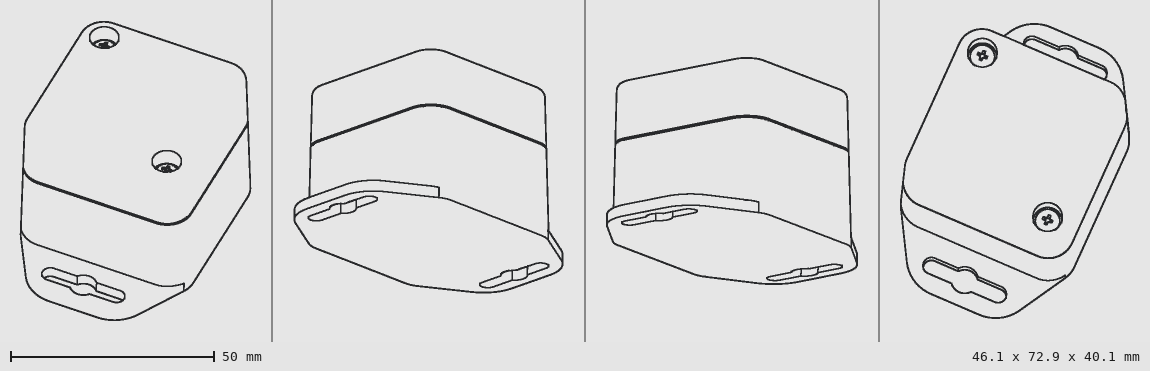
import cadquery as cq
import math

base_width = 46.05
corner_center = 15.925
draft_angle = 1.48
overall_height = 40.1
base_height = 24.4
joint_gap = 0.4
tongue_inset = 0.5
lid_edge_radius = 1.9

overall_length = 72.91
flange_thickness = 3.0
flange_edge_radius = 0.5
flange_corner_radius = 10.0
flange_side_angle = 30.0

slot_offset = 30.5
slot_length = 21.9
slot_width = 4.0
slot_hole_diameter = 6.5

screw_offset = 15.7
screw_points = [(-screw_offset, screw_offset), (screw_offset, -screw_offset)]
counterbore_diameter = 7.0
counterbore_depth = 4.5
head_diameter = 6.0
head_side_height = 0.7
head_edge_step = 0.35
dome_height = 1.0
shank_diameter = 3.0
shank_engagement = 8.0
recess_span = 2.8
recess_arm_width = 0.6
recess_center_diameter = 1.2
recess_depth = 1.2

corner_radius = base_width / 2 - corner_center
lid_bottom = base_height + joint_gap
lid_height = overall_height - lid_bottom
seat_level = overall_height - counterbore_depth
shank_bottom = base_height - shank_engagement


def wall_half_width(z):
    """Distance from the centre to the drafted side wall at height z."""
    return base_width / 2 - z * math.tan(math.radians(draft_angle))


def rounded_block(half_width, bottom, height):
    """Drafted square block whose corner arcs are centred on the corner centres."""
    return (
        cq.Workplane("XY", origin=(0, 0, bottom))
        .sketch()
        .rect(2 * half_width, 2 * half_width)
        .vertices()
        .fillet(half_width - corner_center)
        .finalize()
        .extrude(height, taper=draft_angle)
    )


def screw_shank_space():
    """Cylinders filled by the two screw shanks."""
    return (
        cq.Workplane("XY", origin=(0, 0, shank_bottom))
        .pushPoints(screw_points)
        .circle(shank_diameter / 2)
        .extrude(seat_level - shank_bottom)
    )


def flange():
    """Plate with slanted sides that leave the shell's corner arcs tangentially."""
    cos_side = math.cos(math.radians(flange_side_angle))
    sin_side = math.sin(math.radians(flange_side_angle))
    half_length = overall_length / 2

    side_x = corner_center + corner_radius * cos_side
    side_y = corner_center + corner_radius * sin_side

    side_distance = side_x * cos_side + side_y * sin_side
    arc_y = half_length - flange_corner_radius
    arc_x = (side_distance - flange_corner_radius - arc_y * sin_side) / cos_side
    arc_end_x = arc_x + flange_corner_radius * cos_side
    arc_end_y = arc_y + flange_corner_radius * sin_side

    half_angle = math.radians((90 + flange_side_angle) / 2)
    arc_mid_x = arc_x + flange_corner_radius * math.cos(half_angle)
    arc_mid_y = arc_y + flange_corner_radius * math.sin(half_angle)

    return (
        cq.Workplane("XY")
        .moveTo(-side_x, side_y)
        .lineTo(-arc_end_x, arc_end_y)
        .threePointArc((-arc_mid_x, arc_mid_y), (-arc_x, half_length))
        .lineTo(arc_x, half_length)
        .threePointArc((arc_mid_x, arc_mid_y), (arc_end_x, arc_end_y))
        .lineTo(side_x, side_y)
        .lineTo(side_x, -side_y)
        .lineTo(arc_end_x, -arc_end_y)
        .threePointArc((arc_mid_x, -arc_mid_y), (arc_x, -half_length))
        .lineTo(-arc_x, -half_length)
        .threePointArc((-arc_mid_x, -arc_mid_y), (-arc_end_x, -arc_end_y))
        .lineTo(-side_x, -side_y)
        .close()
        .extrude(flange_thickness)
        .faces(">Z")
        .edges()
        .fillet(flange_edge_radius)
    )


def keyhole_slots():
    """Rounded slot with a larger round opening in its middle, at each end."""
    slot_points = [(0, slot_offset), (0, -slot_offset)]
    slots = (
        cq.Workplane("XY")
        .pushPoints(slot_points)
        .slot2D(slot_length, slot_width)
        .extrude(flange_thickness, taper=-draft_angle)
    )
    openings = (
        cq.Workplane("XY")
        .pushPoints(slot_points)
        .circle(slot_hole_diameter / 2)
        .extrude(flange_thickness, taper=-draft_angle)
    )
    return slots.union(openings)


def make_base():
    shell = rounded_block(base_width / 2, 0, base_height)
    tongue = rounded_block(wall_half_width(base_height) - tongue_inset, base_height, joint_gap)
    return shell.union(flange().cut(keyhole_slots())).union(tongue).cut(screw_shank_space())


def make_lid():
    counterbores = (
        cq.Workplane("XY", origin=(0, 0, seat_level))
        .pushPoints(screw_points)
        .circle(counterbore_diameter / 2)
        .extrude(counterbore_depth, taper=-draft_angle)
    )
    return (
        rounded_block(wall_half_width(lid_bottom), lid_bottom, lid_height)
        .faces(">Z")
        .edges()
        .fillet(lid_edge_radius)
        .cut(counterbores)
        .cut(screw_shank_space())
    )


def cross_recess(top):
    """Cross recess whose arms slope down from their tips to the centre."""
    half_span = recess_span / 2
    recess = (
        cq.Workplane("XY", origin=(0, 0, top - recess_depth))
        .circle(recess_center_diameter / 2)
        .extrude(recess_depth)
    )
    arms = (
        cq.Workplane("XZ")
        .moveTo(-half_span, top)
        .lineTo(-recess_center_diameter / 2, top - recess_depth)
        .lineTo(recess_center_diameter / 2, top - recess_depth)
        .lineTo(half_span, top)
        .close()
        .extrude(recess_arm_width / 2, both=True)
    )
    return recess.union(arms).union(arms.rotate((0, 0, 0), (0, 0, 1), 90))


def make_screw():
    """Pan-head screw on the Z axis."""
    head_radius = head_diameter / 2
    dome_radius = head_radius - head_edge_step
    dome_base = seat_level + head_side_height
    dome_top = dome_base + dome_height

    sphere_radius = (dome_radius**2 + dome_height**2) / (2 * dome_height)
    half_sweep = math.asin(dome_radius / sphere_radius) / 2
    dome_mid_x = sphere_radius * math.sin(half_sweep)
    dome_mid_z = dome_top - sphere_radius * (1 - math.cos(half_sweep))

    body = (
        cq.Workplane("XZ")
        .moveTo(0, shank_bottom)
        .lineTo(shank_diameter / 2, shank_bottom)
        .lineTo(shank_diameter / 2, seat_level)
        .lineTo(head_radius, seat_level)
        .lineTo(head_radius, dome_base - head_edge_step)
        .lineTo(dome_radius, dome_base)
        .threePointArc((dome_mid_x, dome_mid_z), (0, dome_top))
        .close()
        .revolve(360, (0, 0, 0), (0, 1, 0))
    )
    return body.cut(cross_recess(dome_top))


base = make_base()
lid = make_lid()
screw = make_screw()
screws = [screw.translate((x, y, 0)) for x, y in screw_points]

result = cq.Compound.makeCompound([base.val(), lid.val(), *[placed.val() for placed in screws]])